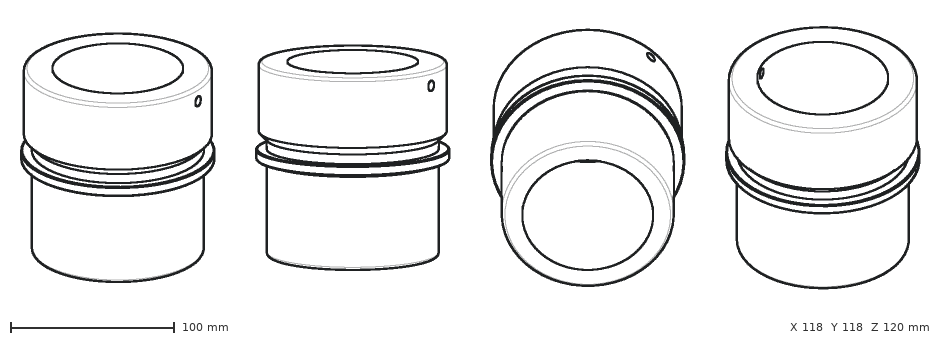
import cadquery as cq

height = 120.0
bore_radius = 40.0

head_radius = 57.5
body_radius = 52.5
relief_radius = 51.7
flange_diameter = 118.0
flange_radius = flange_diameter / 2

relief_bottom = 58.1
relief_chamfer = body_radius - relief_radius
flange_bottom = 59.8
flange_top = 66.0
neck_top = 72.0
head_bottom = neck_top + head_radius - body_radius

end_round = 2.0
flange_chamfer = 0.6

hole_diameter = 6.2
hole_inner_height = 114.0
hole_outer_height = 110.8


def make_sleeve():
    """Revolve the stepped, flanged wall about the Z axis."""
    outline = [
        (bore_radius, 0),
        (body_radius, 0),
        (body_radius, relief_bottom),
        (relief_radius, relief_bottom + relief_chamfer),
        (relief_radius, flange_bottom),
        (flange_radius - flange_chamfer, flange_bottom),
        (flange_radius, flange_bottom + flange_chamfer),
        (flange_radius, flange_top - flange_chamfer),
        (flange_radius - flange_chamfer, flange_top),
        (body_radius, flange_top),
        (body_radius, neck_top),
        (head_radius, head_bottom),
        (head_radius, height),
        (bore_radius, height),
    ]
    sleeve = cq.Workplane("XZ").polyline(outline).close().revolve(360, (0, 0, 0), (0, 1, 0))
    for end_face in (">Z", "<Z"):
        outer_edge = cq.selectors.RadiusNthSelector(-1)
        sleeve = sleeve.faces(end_face).edges(outer_edge).fillet(end_round)
    return sleeve


def make_wall_hole():
    """Sloping cutter, overrunning both faces of the +X wall by one diameter."""
    inner_end = cq.Vector(bore_radius, 0, hole_inner_height)
    outer_end = cq.Vector(head_radius, 0, hole_outer_height)
    through_wall = outer_end - inner_end
    start = inner_end - through_wall.normalized() * hole_diameter
    length = through_wall.Length + 2 * hole_diameter
    return cq.Solid.makeCylinder(hole_diameter / 2, length, start, through_wall)


result = make_sleeve().cut(make_wall_hole())